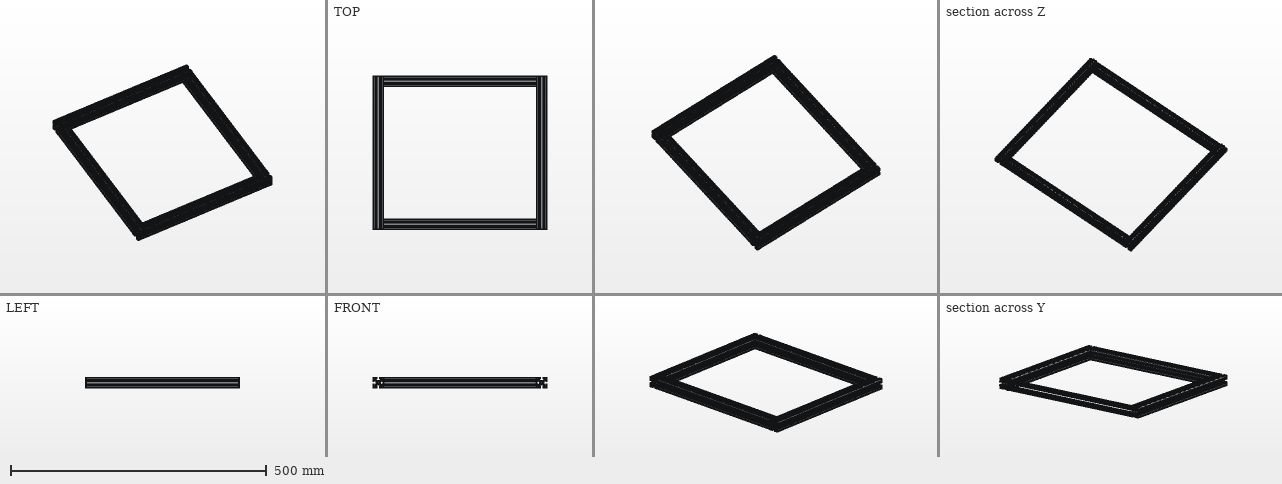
import cadquery as cq
import math

rail_length = 300.0
rail_size = 20.0

corner_radius = 1.1
bore_diameter = 5.0
core_size = 7.8
web_thickness = 1.43
lip_thickness = 1.8
slot_throat = 6.0
lead_in = 0.6
cavity_width = 11.2

half_size = rail_size / 2
rail_offset_x = (rail_length + rail_size) / 2
rail_offset_y = (rail_length - rail_size) / 2


def slot_cutter():
    """T-slot on the section's +Y face, running the length of a rail along Z."""
    web_shift = web_thickness / math.sqrt(2)
    floor_y = core_size / 2
    lip_y = half_size - lip_thickness
    right_side = [
        (floor_y - web_shift, floor_y),
        (cavity_width / 2, cavity_width / 2 + web_shift),
        (cavity_width / 2, lip_y),
        (slot_throat / 2, lip_y),
        (slot_throat / 2, half_size - lead_in),
        (slot_throat / 2 + lead_in, half_size),
    ]
    left_side = [(-x, y) for x, y in reversed(right_side)]
    return cq.Workplane("XY").polyline(right_side + left_side).close().extrude(rail_length)


def rail():
    """One rail along Z, centred on the origin."""
    body = cq.Workplane("XY").rect(rail_size, rail_size).extrude(rail_length)
    body = body.edges("|Z").fillet(corner_radius)
    slot = slot_cutter()
    for side in range(4):
        body = body.cut(slot.rotate((0, 0, 0), (0, 0, 1), 90 * side))
    bore = cq.Workplane("XY").circle(bore_diameter / 2).extrude(rail_length)
    return body.cut(bore).translate((0, 0, -rail_length / 2))


side_rail = rail().rotate((0, 0, 0), (1, 0, 0), 90)
cross_rail = rail().rotate((0, 0, 0), (0, 1, 0), 90)

rails = []
for direction in (-1, 1):
    rails.append(side_rail.translate((direction * rail_offset_x, 0, 0)).val())
    rails.append(cross_rail.translate((0, direction * rail_offset_y, 0)).val())

result = cq.Compound.makeCompound(rails)